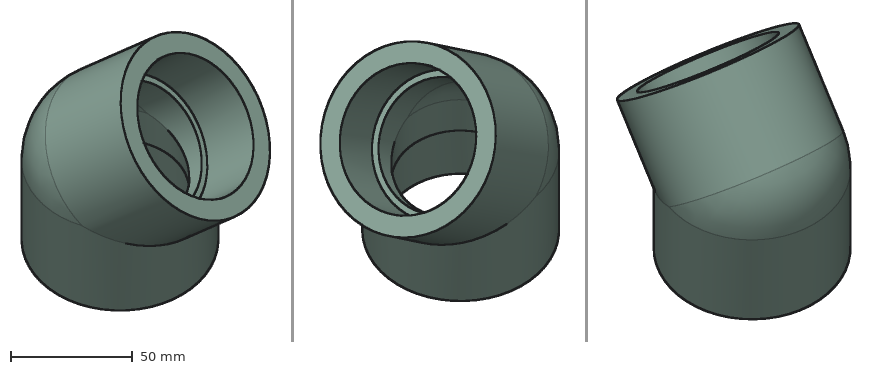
import cadquery as cq

bend_angle = 45.0
outer_diameter = 81.0
bore_diameter = 57.0
socket_diameter = 63.0
leg_length = 47.5
socket_depth = 29.1

bend_centre = cq.Vector(0, 0, leg_length)


def lower_leg(diameter, start, end):
    """Cylinder on the vertical leg between two distances from the bend centre."""
    return (
        cq.Workplane("XY")
        .workplane(offset=leg_length - end)
        .circle(diameter / 2)
        .extrude(end - start)
    )


def both_legs(diameter, start, end):
    """Matching cylinders on the vertical leg and on the leg tilted toward +X."""
    lower = lower_leg(diameter, start, end)
    upper = lower.mirror("XY", bend_centre.toTuple()).rotate(
        bend_centre.toTuple(), (bend_centre + cq.Vector(0, 1.1, 0)).toTuple(), bend_angle
    )
    return lower.union(upper)


def elbow_solid(diameter):
    """Two full legs joined by a sphere that rounds the outside of the bend."""
    joint = cq.Workplane("XY", origin=bend_centre.toTuple()).sphere(diameter / 2)
    return both_legs(diameter, 0, leg_length).union(joint)


body = elbow_solid(outer_diameter)
bore = elbow_solid(bore_diameter)
sockets = both_legs(socket_diameter, leg_length - socket_depth, leg_length)

result = body.cut(bore).cut(sockets)